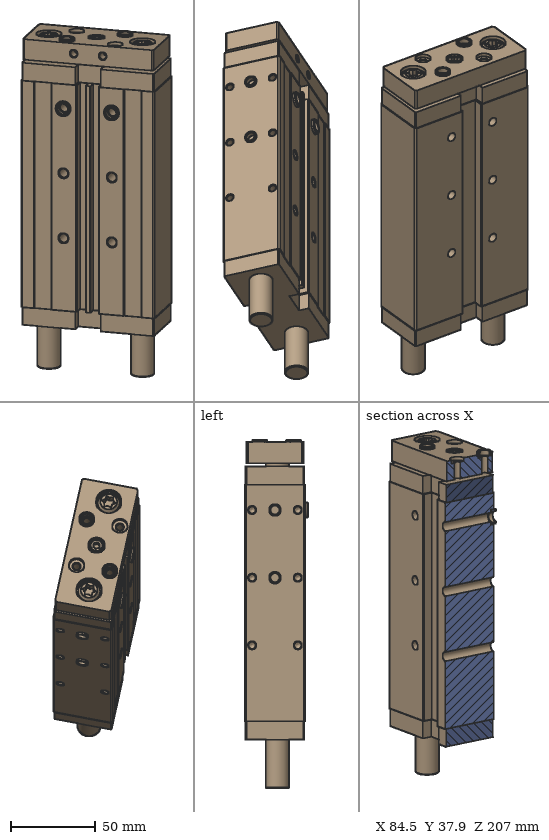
import cadquery as cq
import math


housing_width = 83.0
housing_depth = 36.0
housing_length = 140.0
housing_corner = 1.0

cap_width = 81.9
cap_depth = 35.0
cap_height = 11.0
cap_corner = 0.6
cap_slot_width = 15.7
cap_slot_depth = 6.2

plate_width = 81.0
plate_depth = 34.0
plate_thickness = 12.6
plate_corner = 1.0
plate_gap = 1.9

rod_diameter = 14.0
rod_spacing = 58.1
rod_y = -1.5
rod_overhang = 29.0
rod_chamfer = 0.6
piston_diameter = 8.0

slot_width = 13.2
slot_depth = 6.2
slot_chamfer = 0.6
rib_width = 3.0
rib_chamfer = 0.5
rib_recess = 0.8

channel_inner_x = 22.1
channel_outer_x = 33.5
channel_depth = 0.8
channel_slope = 0.6

mount_spacing_x = 30.0
mount_spacing_z = 40.1
top_row_drop = 14.9
mount_diameter = 5.4
mount_mouth = 6.5

side_spacing_y = 27.0
thread_diameter = 4.1
thread_mouth = 5.0
thread_depth = 8.3
drill_angle = 118

plate_hole_spacing_y = 20.0
plate_hole_y = -1.0
front_hole_spacing = 18.0

head_bore = 15.0
head_bore_depth = 2.5
head_diameter = 13.0
head_top_diameter = 10.0
head_height = 2.0
star_tip_diameter = 8.0
star_root_diameter = 5.4
star_points = 6
star_depth = 5.2

piston_bore = 10.0
piston_bore_depth = 1.2
piston_end_diameter = 8.5
piston_end_height = 0.8
piston_top_diameter = 7.0
piston_end_chamfer = 0.6
hex_across_corners = 4.3
hex_depth = 2.0

large_sleeve = dict(outer=9.0, bore=6.5, outer_edge=0.6, bore_edge=0.5)
small_sleeve = dict(outer=7.0, bore=5.4, outer_edge=0.2, bore_edge=0.5)
sleeve_seat = 2.0
front_sleeve_overhang = 1.9
top_sleeve_overhang = 1.5
side_sleeve_overhang = 1.5

lower_cap_z = rod_overhang
housing_z = lower_cap_z + cap_height
upper_cap_z = housing_z + housing_length
cap_top_z = upper_cap_z + cap_height
plate_z = cap_top_z + plate_gap
plate_top_z = plate_z + plate_thickness
thread_mouth_depth = (thread_mouth - thread_diameter) / 2
front_y = -housing_depth / 2
left_x = -housing_width / 2
mount_rows = [upper_cap_z - top_row_drop - row * mount_spacing_z for row in range(3)]
mount_columns = [-mount_spacing_x / 2, mount_spacing_x / 2]
rod_columns = [-rod_spacing / 2, rod_spacing / 2]
plate_hole_rows = [plate_hole_y - plate_hole_spacing_y / 2, plate_hole_y + plate_hole_spacing_y / 2]

INTO_X = cq.Vector(1, 0, 0)
INTO_Y = cq.Vector(0, 1, 0)
DOWN = cq.Vector(0, 0, -1)
UP = cq.Vector(0, 0, 1)


def cylinder(start, direction, diameter, length):
    return cq.Workplane(cq.Solid.makeCylinder(diameter / 2, length, start, direction))


def cone(start, direction, start_diameter, end_diameter, length):
    return cq.Workplane(cq.Solid.makeCone(start_diameter / 2, end_diameter / 2, length, start, direction))


def block(width, depth, height, corner, z):
    """Upright block with its four vertical edges chamfered."""
    body = cq.Workplane("XY", origin=(0, 0, z)).rect(width, depth).extrude(height)
    return body.edges("|Z").chamfer(corner)


def threaded_hole(start, direction):
    """Blind hole with a chamfered mouth and a drilled cone at its bottom."""
    tip_length = thread_diameter / 2 / math.tan(math.radians(drill_angle / 2))
    hole = cylinder(start, direction, thread_diameter, thread_depth)
    hole = hole.union(cone(start, direction, thread_mouth, thread_diameter, thread_mouth_depth))
    return hole.union(cone(start + direction * thread_depth, direction, thread_diameter, 0, tip_length))


def slot_cut(side):
    """Chamfered slot along the housing on the front (side = -1) or the back (side = 1)."""
    half = slot_width / 2
    face = side * housing_depth / 2
    floor = face - side * slot_depth
    shoulder = face - side * slot_chamfer
    outline = [
        (-half, floor),
        (-half, shoulder),
        (-half - slot_chamfer, face),
        (half + slot_chamfer, face),
        (half, shoulder),
        (half, floor),
    ]
    return cq.Workplane("XY", origin=(0, 0, housing_z)).polyline(outline).close().extrude(housing_length)


def slot_rib():
    """Guide rib standing on the floor of the front slot."""
    top = front_y + rib_recess
    depth = slot_depth - rib_recess
    rib = cq.Workplane("XY", origin=(0, top + depth / 2, housing_z)).rect(rib_width, depth)
    return rib.extrude(housing_length).edges("|Z and <Y").chamfer(rib_chamfer)


def channel_cut(side):
    """Shallow channel with sloped walls on the left (side = -1) or right (side = 1) of the front."""
    floor = front_y + channel_depth
    outline = [
        (side * channel_inner_x, front_y),
        (side * (channel_inner_x + channel_slope), floor),
        (side * (channel_outer_x - channel_slope), floor),
        (side * channel_outer_x, front_y),
    ]
    return cq.Workplane("XY", origin=(0, 0, housing_z)).polyline(outline).close().extrude(housing_length)


def mount_hole(x, z):
    """Hole through the whole thickness of the housing, chamfered on the front."""
    start = cq.Vector(x, front_y, z)
    mouth = cone(start, INTO_Y, mount_mouth, mount_diameter, (mount_mouth - mount_diameter) / 2)
    return cylinder(start, INTO_Y, mount_diameter, housing_depth).union(mouth)


def make_housing():
    body = block(housing_width, housing_depth, housing_length, housing_corner, housing_z)
    for side in (-1, 1):
        body = body.cut(slot_cut(side)).cut(channel_cut(side))
    body = body.union(slot_rib())
    for z in mount_rows:
        for x in mount_columns:
            body = body.cut(mount_hole(x, z))
        for y in (-side_spacing_y / 2, side_spacing_y / 2):
            body = body.cut(threaded_hole(cq.Vector(left_x, y, z), INTO_X))
    for x in mount_columns:
        start = cq.Vector(x, front_y, mount_rows[0])
        body = body.cut(cylinder(start, INTO_Y, large_sleeve["outer"], sleeve_seat))
    for z in mount_rows[:2]:
        start = cq.Vector(left_x, 0, z)
        body = body.cut(cylinder(start, INTO_X, small_sleeve["outer"], sleeve_seat))
    for x in rod_columns:
        body = body.cut(cylinder(cq.Vector(x, rod_y, housing_z), UP, rod_diameter, housing_length))
    return body.cut(cylinder(cq.Vector(0, 0, housing_z), UP, piston_diameter, housing_length))


def make_cap(z):
    """End cap with the middle slot continued on both faces and bores for the rods."""
    body = block(cap_width, cap_depth, cap_height, cap_corner, z)
    for side in (-1, 1):
        y = side * (cap_depth - cap_slot_depth) / 2
        slot = cq.Workplane("XY", origin=(0, y, z)).rect(cap_slot_width, cap_slot_depth).extrude(cap_height)
        body = body.cut(slot)
    for x in rod_columns:
        body = body.cut(cylinder(cq.Vector(x, rod_y, z), UP, rod_diameter, cap_height))
    return body


def screw_head_recess(x):
    """Ring-shaped recess around a conical screw head, with a star socket in the head."""
    start = cq.Vector(x, rod_y, plate_top_z)
    recess = cylinder(start, DOWN, head_bore, head_bore_depth)
    base = cq.Vector(x, rod_y, plate_top_z - head_bore_depth)
    recess = recess.cut(cone(base, UP, head_diameter, head_top_diameter, head_height))
    tip, root = star_tip_diameter / 2, star_root_diameter / 2
    star = []
    for corner in range(2 * star_points):
        radius = root if corner % 2 else tip
        angle = math.pi / 2 + corner * math.pi / star_points
        star.append((radius * math.cos(angle), radius * math.sin(angle)))
    socket = cq.Workplane("XY", origin=(x, rod_y, plate_top_z)).polyline(star).close().extrude(-star_depth)
    return recess.union(socket)


def piston_end_recess():
    """Recess around the piston rod end, which has a hexagon socket."""
    recess = cylinder(cq.Vector(0, 0, plate_top_z), DOWN, piston_bore, piston_bore_depth)
    base = cq.Vector(0, 0, plate_top_z - piston_bore_depth)
    recess = recess.cut(cylinder(base, UP, piston_end_diameter, piston_end_height - piston_end_chamfer))
    rim = base + UP * (piston_end_height - piston_end_chamfer)
    recess = recess.cut(cone(rim, UP, piston_end_diameter, piston_top_diameter, piston_end_chamfer))
    socket = cq.Workplane("XY", origin=(0, 0, plate_top_z)).polygon(6, hex_across_corners)
    return recess.union(socket.extrude(-piston_bore_depth - hex_depth))


def make_slide():
    """Yoke plate in one piece with its two guide rods and the piston rod."""
    body = block(plate_width, plate_depth, plate_thickness, plate_corner, plate_z)
    for x in rod_columns:
        rod = cylinder(cq.Vector(x, rod_y, 0), UP, rod_diameter, plate_z).faces("<Z").chamfer(rod_chamfer)
        body = body.union(rod).cut(screw_head_recess(x))
    piston = cylinder(cq.Vector(0, 0, housing_z), UP, piston_diameter, plate_z - housing_z)
    body = body.union(piston)
    body = body.cut(piston_end_recess())
    for x in mount_columns:
        for y in plate_hole_rows:
            start = cq.Vector(x, y, plate_top_z)
            seat = start + DOWN * sleeve_seat
            body = body.cut(cylinder(start, DOWN, large_sleeve["outer"], sleeve_seat))
            body = body.cut(cylinder(start, DOWN, thread_diameter, plate_thickness))
            body = body.cut(cone(seat, DOWN, thread_mouth, thread_diameter, thread_mouth_depth))
    for x in (-front_hole_spacing / 2, front_hole_spacing / 2):
        start = cq.Vector(x, -plate_depth / 2, plate_z + plate_thickness / 2)
        body = body.cut(threaded_hole(start, INTO_Y))
    return body


def make_sleeve(size, seat, outward, overhang):
    """Centring sleeve standing on the bottom of its seat and projecting outward from the face."""
    start = seat - outward * sleeve_seat
    length = sleeve_seat + overhang
    end = start + outward * length
    inward = -outward
    outer, bore = size["outer"], size["bore"]
    outer_edge, bore_edge = size["outer_edge"], size["bore_edge"]
    body = cylinder(start, outward, outer, length - outer_edge)
    body = body.union(cone(end, inward, outer - 2 * outer_edge, outer, outer_edge))
    body = body.cut(cylinder(start, outward, bore, length))
    return body.cut(cone(end, inward, bore + 2 * bore_edge, bore, bore_edge))


housing = make_housing()
lower_cap = make_cap(lower_cap_z)
piston_hole = cylinder(cq.Vector(0, 0, upper_cap_z), UP, piston_diameter, cap_height)
upper_cap = make_cap(upper_cap_z).cut(piston_hole)
slide = make_slide()
front_sleeves = [
    make_sleeve(large_sleeve, cq.Vector(x, front_y, mount_rows[0]), -INTO_Y, front_sleeve_overhang)
    for x in mount_columns
]
top_sleeves = [
    make_sleeve(large_sleeve, cq.Vector(x, y, plate_top_z), UP, top_sleeve_overhang)
    for x, y in zip(mount_columns, plate_hole_rows)
]
side_sleeves = [
    make_sleeve(small_sleeve, cq.Vector(left_x, 0, z), -INTO_X, side_sleeve_overhang)
    for z in mount_rows[:2]
]

bodies = [housing, lower_cap, upper_cap, slide, *front_sleeves, *top_sleeves, *side_sleeves]
result = cq.Compound.makeCompound([body.val() for body in bodies])